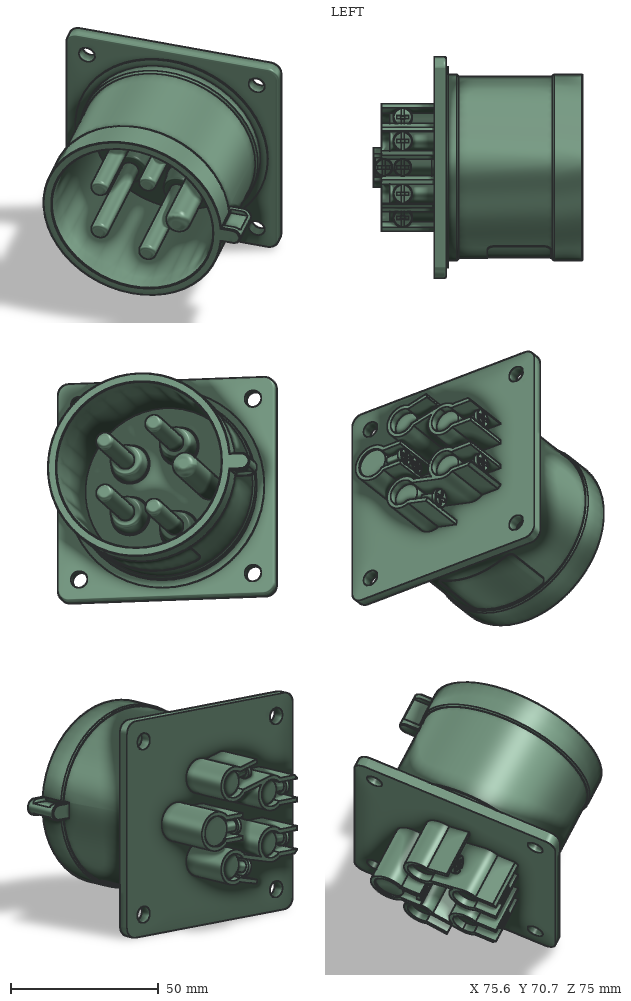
import cadquery as cq
import math


flange_side = 75.0
flange_thickness = 4.15
flange_corner_radius = 3.9
flange_edge_fillet = 0.9
mount_spacing = 59.95
mount_hole_diameter = 5.7
pad_diameter = 68.0
pad_front = 4.8

shroud_front = 50.2
barrel_diameter = 61.55
collar_diameter = 63.0
collar_front = 8.4
collar_chamfer = 0.75
lip_rear = 39.9
lip_shoulder_diameter = 62.15
lip_full_start = 40.6
lip_edge_chamfer = 0.2
bore_mouth_diameter = 56.85
bore_floor_diameter = 55.5
bore_edge_chamfer = 0.3

label_width = 30.25
label_start = 18.0
label_end = 39.5
label_corner_radius = 2.3
label_depth = 0.2

key_tip = 38.1
key_thickness = 5.7
key_root_overlap = 0.75
key_rear = 37.05
key_edge_chamfer = 0.4
key_relief_start = 38.9
key_relief_end = 48.4
key_relief_slope = 0.6
key_web_thickness = 3.4

pin_circle_radius = 15.1
pin_pitch_angle = 72.0
pin_diameter = 6.0
pin_tip_flat = 3.0
pin_front = 49.15
earth_pin_diameter = 8.5
earth_tip_flat = 3.0
earth_pin_front = 49.0
boss_diameter = 13.3
sleeve_root_diameter = 12.55
sleeve_tip_diameter = 10.7
boss_front = 4.9
sleeve_fillet = 1.1
sleeve_front = 12.1

terminal_height = 17.8
terminal_radius = 6.05
earth_terminal_height = 20.5
earth_terminal_radius = 6.7
wall_outer_half = 4.7
wall_inner_half = 3.25
terminal_wall = wall_outer_half - wall_inner_half
contact_clearance = 0.15
contact_height = 15.0
earth_contact_base = 0.75
earth_contact_height = 19.9
terminal_reach = 11.4
earth_reach = 11.7
long_wall_reach = 15.3
upper_tilt = 13.5
wall_end_chamfer = 1.1

screw_head_diameter = 6.4
earth_screw_diameter = 5.9
screw_shank_diameter = 4.0
screw_height = 10.6
earth_second_screw_height = 17.0
screw_head_thickness = 1.5
screw_projection = 0.15
screw_edge_chamfer = 0.2
slot_width = 1.1
slot_depth = 0.6
recess_length = 4.1
recess_floor_length = 1.2
recess_depth = 1.2


def revolve_about_y(points):
    """Revolve an outline of (radius, distance forward) points about the Y axis."""
    outline = [(radius, -forward) for radius, forward in points]
    return cq.Workplane("XY").polyline(outline).close().revolve(360, (0, 0, 0), (0, 1, 0))


def forward_cylinder(diameter, start, end):
    """Cylinder about Y between two distances forward of the flange rear; negative distances lie behind it."""
    return cq.Workplane("XZ", origin=(0, -start, 0)).circle(diameter / 2).extrude(end - start)


def rear_box(x_min, x_max, z_min, z_max, height):
    """Block standing on the rear face of the flange."""
    block = cq.Workplane("XY").box(x_max - x_min, height, z_max - z_min, centered=False)
    return block.translate((x_min, 0, z_min))


def make_flange():
    flange = (
        cq.Workplane("XZ")
        .rect(flange_side, flange_side)
        .extrude(flange_thickness)
        .edges("|Y")
        .fillet(flange_corner_radius)
        .faces("<Y")
        .edges()
        .fillet(flange_edge_fillet)
    )
    holes = (
        cq.Workplane("XZ")
        .rect(mount_spacing, mount_spacing, forConstruction=True)
        .vertices()
        .circle(mount_hole_diameter / 2)
        .extrude(flange_thickness)
    )
    return flange.cut(holes).union(forward_cylinder(pad_diameter, 0, pad_front))


def make_shroud():
    barrel = barrel_diameter / 2
    collar = collar_diameter / 2
    return revolve_about_y([
        (0, 0),
        (collar, 0),
        (collar, collar_front - collar_chamfer),
        (barrel, collar_front),
        (barrel, lip_rear),
        (lip_shoulder_diameter / 2, lip_rear),
        (collar, lip_full_start),
        (collar, shroud_front - lip_edge_chamfer),
        (collar - lip_edge_chamfer, shroud_front),
        (0, shroud_front),
    ])


def make_bore():
    mouth = bore_mouth_diameter / 2
    return revolve_about_y([
        (0, flange_thickness),
        (bore_floor_diameter / 2, flange_thickness),
        (mouth, shroud_front - bore_edge_chamfer),
        (mouth + bore_edge_chamfer, shroud_front),
        (0, shroud_front),
    ])


def make_label_recess():
    length = label_end - label_start
    plate = (
        cq.Workplane("XY")
        .center(0, -(label_start + label_end) / 2)
        .rect(label_width, length)
        .extrude(-barrel_diameter)
        .edges("|Z")
        .fillet(label_corner_radius)
    )
    core = forward_cylinder(barrel_diameter - 2 * label_depth, 0, shroud_front)
    return plate.cut(core)


def make_key():
    radius = key_thickness / 2
    root = barrel_diameter / 2 - key_root_overlap
    straight_end = key_tip - radius
    key = (
        cq.Workplane("XZ", origin=(0, -key_rear, 0))
        .moveTo(root, -radius)
        .lineTo(straight_end, -radius)
        .threePointArc((key_tip, 0), (straight_end, radius))
        .lineTo(root, radius)
        .close()
        .extrude(shroud_front - key_rear)
    )
    key = key.faces("<Y or >Y").edges().chamfer(key_edge_chamfer)

    web_half = key_web_thickness / 2
    relief = (
        cq.Workplane("YZ", origin=(collar_diameter / 2, 0, 0))
        .polyline([
            (-key_relief_start, radius),
            (-key_relief_start - key_relief_slope, web_half),
            (-key_relief_end + key_relief_slope, web_half),
            (-key_relief_end, radius),
        ])
        .close()
        .extrude(key_tip)
    )
    return key.cut(relief).cut(relief.mirror("XY"))


def make_pin(diameter, tip_flat, front):
    pin = forward_cylinder(diameter, 0, front)
    return pin.faces("<Y").edges().fillet((diameter - tip_flat) / 2)


def make_sleeved_pin():
    sleeve = revolve_about_y([
        (0, 0),
        (boss_diameter / 2, 0),
        (boss_diameter / 2, flange_thickness),
        (sleeve_root_diameter / 2, boss_front),
        (sleeve_tip_diameter / 2, sleeve_front),
        (0, sleeve_front),
    ])
    sleeve = sleeve.faces("<Y").edges().fillet(sleeve_fillet)
    return sleeve.union(make_pin(pin_diameter, pin_tip_flat, pin_front))


def make_screw(diameter, height, reach):
    """Crosshead screw pointing along -X, with its shank reaching back to the contact."""
    plane = cq.Workplane("YZ", origin=(-reach, height, 0))
    head = plane.circle(diameter / 2).extrude(screw_head_thickness)
    head = head.faces("<X").edges().chamfer(screw_edge_chamfer)
    shank = plane.circle(screw_shank_diameter / 2).extrude(reach)
    slot = plane.rect(slot_width, diameter).extrude(slot_depth)
    recess = (
        cq.Workplane("XY", origin=(-reach, height, -slot_width / 2))
        .polyline([
            (0, -recess_length / 2),
            (recess_depth, -recess_floor_length / 2),
            (recess_depth, recess_floor_length / 2),
            (0, recess_length / 2),
        ])
        .close()
        .extrude(slot_width)
    )
    return head.union(shank).cut(slot).cut(recess)


def make_terminal(radius, height, upper_reach, lower_reach):
    """Keyhole-shaped shell around the origin, with its wire slot opening toward -X."""
    barrel = forward_cylinder(2 * radius, -height, 0)
    upper_wall = rear_box(-upper_reach, 0, 0, wall_outer_half, height)
    lower_wall = rear_box(-lower_reach, 0, -wall_outer_half, 0, height)
    slot = rear_box(-lower_reach, 0, -wall_inner_half, wall_inner_half, height)
    socket = forward_cylinder(2 * (radius - terminal_wall), -height, 0)
    return barrel.union(upper_wall).union(lower_wall).cut(slot).cut(socket)


def make_contact(shell_radius, base, top):
    diameter = 2 * (shell_radius - terminal_wall - contact_clearance)
    return forward_cylinder(diameter, -top, -base)


def make_phase_terminal(lower_reach):
    shell = make_terminal(terminal_radius, terminal_height, terminal_reach, lower_reach)
    contact = make_contact(terminal_radius, 0, contact_height)
    screw = make_screw(screw_head_diameter, screw_height, terminal_reach + screw_projection)
    return shell.union(contact).union(screw)


def make_earth_terminal():
    shell = make_terminal(earth_terminal_radius, earth_terminal_height, earth_reach, earth_reach)
    contact = make_contact(earth_terminal_radius, earth_contact_base, earth_contact_height)
    neck = forward_cylinder(earth_pin_diameter, -earth_contact_base, 0)
    terminal = shell.union(contact).union(neck)
    for height in (screw_height, earth_second_screw_height):
        terminal = terminal.union(make_screw(earth_screw_diameter, height, earth_reach))
    return terminal


def pin_position(step):
    angle = math.radians(step * pin_pitch_angle)
    return (pin_circle_radius * math.cos(angle), 0, pin_circle_radius * math.sin(angle))


upper_terminal = make_phase_terminal(long_wall_reach).rotate((0, 0, 0), (0, 1, 0), upper_tilt)
side_terminal = make_phase_terminal(terminal_reach)
side_terminal = side_terminal.cut(
    cq.Workplane("XZ")
    .polyline([
        (-terminal_reach, wall_outer_half),
        (-terminal_reach + wall_end_chamfer, wall_outer_half),
        (-terminal_reach, wall_outer_half - wall_end_chamfer),
    ])
    .close()
    .extrude(-terminal_height)
)

result = make_flange().union(make_shroud()).cut(make_bore()).cut(make_label_recess()).union(make_key())

result = result.union(
    make_pin(earth_pin_diameter, earth_tip_flat, earth_pin_front)
    .union(make_earth_terminal())
    .translate(pin_position(0))
)
for step, terminal in ((1, upper_terminal), (2, side_terminal)):
    contact_set = terminal.union(make_sleeved_pin()).translate(pin_position(step))
    result = result.union(contact_set).union(contact_set.mirror("XY"))